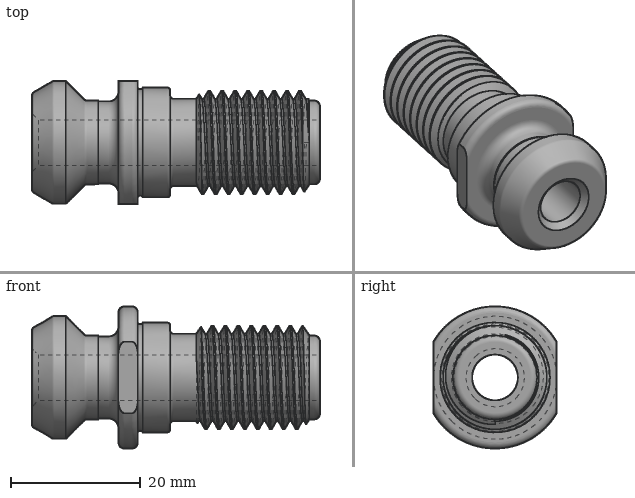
import cadquery as cq
import math

TOTAL_LENGTH = 44.5

HEAD_DIAMETER = 19.0
HEAD_RADIUS = HEAD_DIAMETER / 2
HEAD_FRONT_RADIUS = 7.6
HEAD_FRONT_ANGLE = 30.0
HEAD_BACK_START = 5.25
HEAD_FRONT_FILLET = 0.65
HEAD_RIM_FILLET = 0.5

NECK_RADIUS = 6.5
NECK_RELIEF_RADIUS = 6.35
NECK_RELIEF_START = 10.3
NECK_CORNER_FILLET = 0.4
NECK_FLANGE_FILLET = 1.45

FLANGE_START = 13.35
FLANGE_END = 16.38
FLANGE_RADIUS = 11.0
FLANGE_FILLET = 1.0
FLAT_SPACING = HEAD_DIAMETER

GROOVE_RADIUS = 8.28
GROOVE_FILLET = 0.2
COLLAR_START = 17.1
COLLAR_END = 21.35
COLLAR_RADIUS = 8.5
COLLAR_FILLET = 0.5
SHANK_FILLET = 0.5

PITCH = 2.0
THREAD_RADIUS = 8.0
THREAD_DEPTH = 1.25
SHANK_RADIUS = THREAD_RADIUS - THREAD_DEPTH
THREAD_FLANK_ANGLE = 30.0
CREST_WIDTH = PITCH / 8
THREAD_START = 25.35
THREAD_END = 42.85
THREAD_END_ANGLE = 55.0
LOWEST_CREST = 26.9
RIDGE_OVERLAP = 0.15
CONE_OVERLAP = 0.22

TIP_RADIUS = 6.5
TIP_FILLET = 1.0

BORE_RADIUS = 3.5
COUNTERSINK_RADIUS = 4.5


def slope(degrees):
    return math.tan(math.radians(degrees))


def cylinder(start, end, radius):
    return cq.Workplane("YZ", origin=(start, 0, 0)).circle(radius).extrude(end - start)


def turned(points):
    """Revolve a closed (x, radius) outline about the X axis."""
    return cq.Workplane("XY").polyline(points).close().revolve(360, (0, 0, 0), (1, 0, 0))


def make_head_and_neck():
    rim_start = (HEAD_RADIUS - HEAD_FRONT_RADIUS) / slope(HEAD_FRONT_ANGLE)
    back_end = HEAD_BACK_START + HEAD_RADIUS - NECK_RADIUS
    body = turned([
        (0, 0),
        (0, HEAD_FRONT_RADIUS),
        (rim_start, HEAD_RADIUS),
        (HEAD_BACK_START, HEAD_RADIUS),
        (back_end, NECK_RADIUS),
        (NECK_RELIEF_START, NECK_RADIUS),
        (NECK_RELIEF_START, NECK_RELIEF_RADIUS),
        (FLANGE_START, NECK_RELIEF_RADIUS),
        (FLANGE_START, 0),
    ])
    fillets = [
        (0, HEAD_FRONT_FILLET),
        (rim_start, HEAD_RIM_FILLET),
        (back_end, NECK_CORNER_FILLET),
    ]
    for x, radius in fillets:
        corner_edge = cq.selectors.NearestToPointSelector((x, 0, 0))
        body = body.edges("%CIRCLE").edges(corner_edge).fillet(radius)
    return body


def make_flange():
    flange = cylinder(FLANGE_START, FLANGE_END, FLANGE_RADIUS).edges("%CIRCLE").fillet(FLANGE_FILLET)
    flats = cq.Workplane("XY").box(2 * TOTAL_LENGTH, FLAT_SPACING, 2 * FLANGE_RADIUS)
    return flange.intersect(flats)


def make_root_fillet(face_x, radius, size, direction):
    """Concave ring that blends a shaft into the shoulder at face_x; it extends along direction."""
    far_x = face_x + direction * size
    middle_offset = size * (1 - math.sqrt(0.5))
    return (
        cq.Workplane("XY")
        .moveTo(face_x, 0)
        .lineTo(face_x, radius + size)
        .threePointArc((face_x + direction * middle_offset, radius + middle_offset), (far_x, radius))
        .lineTo(far_x, 0)
        .close()
        .revolve(360, (0, 0, 0), (1, 0, 0))
    )


def make_collar():
    groove = cylinder(FLANGE_END, COLLAR_START, GROOVE_RADIUS)
    collar = cylinder(COLLAR_START, COLLAR_END, COLLAR_RADIUS).faces(">X").edges().fillet(COLLAR_FILLET)
    flange_blend = make_root_fillet(FLANGE_END, GROOVE_RADIUS, GROOVE_FILLET, 1)
    collar_blend = make_root_fillet(COLLAR_START, GROOVE_RADIUS, GROOVE_FILLET, -1)
    return groove.union(collar).union(flange_blend).union(collar_blend)


def make_thread_ridge():
    """Untrimmed right-handed helical ridge that runs past both ends of the thread."""
    base_radius = SHANK_RADIUS - RIDGE_OVERLAP
    half_crest = CREST_WIDTH / 2
    half_base = half_crest + (THREAD_RADIUS - base_radius) * slope(THREAD_FLANK_ANGLE)
    start = LOWEST_CREST - PITCH
    turns = math.ceil((THREAD_END - start) / PITCH)
    helix = cq.Wire.makeHelix(PITCH, turns * PITCH, base_radius)
    return (
        cq.Workplane("XZ")
        .polyline([
            (base_radius, -half_base),
            (THREAD_RADIUS, -half_crest),
            (THREAD_RADIUS, half_crest),
            (base_radius, half_base),
        ])
        .close()
        .sweep(cq.Workplane(helix), isFrenet=True)
        .rotate((0, 0, 0), (0, 1, 0), 90)
        .translate((start, 0, 0))
    )


def make_shank():
    """Plain shank, thread with a cone at both ends, and the rounded tip."""
    trim_radius = THREAD_RADIUS + RIDGE_OVERLAP
    inner_radius = SHANK_RADIUS - CONE_OVERLAP
    start_cone_base = THREAD_START - CONE_OVERLAP / slope(THREAD_END_ANGLE)
    start_cone_top = start_cone_base + (trim_radius - inner_radius) / slope(THREAD_END_ANGLE)
    end_cone_base = THREAD_END + (TIP_RADIUS - inner_radius) / slope(THREAD_END_ANGLE)
    end_cone_top = end_cone_base - (trim_radius - inner_radius) / slope(THREAD_END_ANGLE)
    thread_envelope = turned([
        (start_cone_base, 0),
        (start_cone_base, inner_radius),
        (start_cone_top, trim_radius),
        (end_cone_top, trim_radius),
        (end_cone_base, inner_radius),
        (end_cone_base, 0),
    ])
    tip_waste = turned([
        (end_cone_top, trim_radius),
        (THREAD_END, TIP_RADIUS),
        (TOTAL_LENGTH, TIP_RADIUS),
        (TOTAL_LENGTH, trim_radius),
    ])
    core = cylinder(COLLAR_END, TOTAL_LENGTH, SHANK_RADIUS)
    thread = make_thread_ridge().intersect(thread_envelope)
    return core.union(thread).cut(tip_waste).faces(">X").edges().fillet(TIP_FILLET)


def make_bore():
    countersink_depth = COUNTERSINK_RADIUS - BORE_RADIUS
    return turned([
        (0, 0),
        (0, COUNTERSINK_RADIUS),
        (countersink_depth, BORE_RADIUS),
        (TOTAL_LENGTH, BORE_RADIUS),
        (TOTAL_LENGTH, 0),
    ])


result = (
    make_head_and_neck()
    .union(make_root_fillet(FLANGE_START, NECK_RELIEF_RADIUS, NECK_FLANGE_FILLET, -1))
    .union(make_flange())
    .union(make_collar())
    .union(make_root_fillet(COLLAR_END, SHANK_RADIUS, SHANK_FILLET, 1))
    .union(make_shank())
    .cut(make_bore())
)